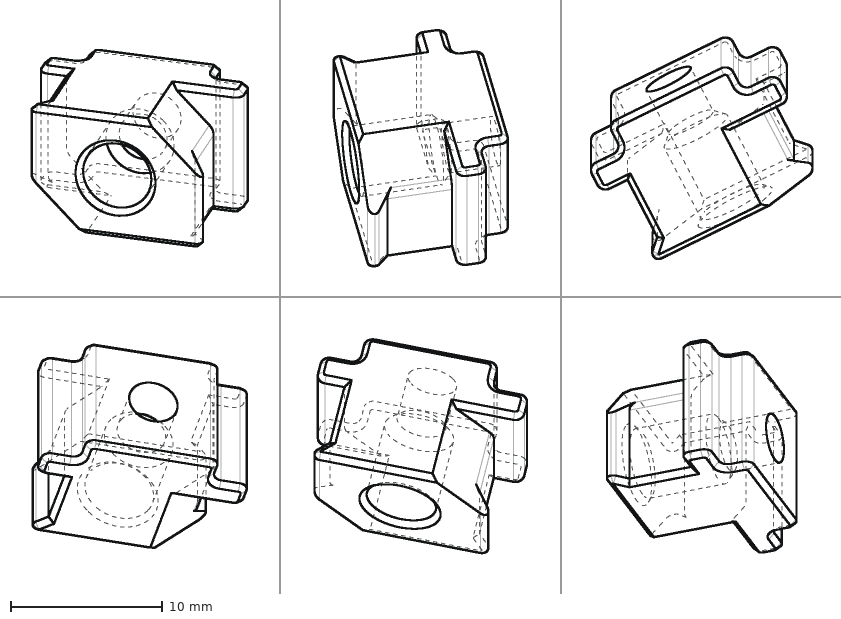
import cadquery as cq

length = 9.8
height = 9.0
bevel = 0.4

flange_width = 14.0
flange_front = 5.8
flange_back = 7.8
tongue_width = 9.0
corner_radius = 0.6

neck_width = 10.14
neck_edge_radius = 1.0
foot_width = 11.79
flare_start = 1.43
foot_edge_radius = 0.42
foot_tip_depth = flare_start - (foot_width - neck_width) / 2

corner_cut_offset = 2.11

bore_diameter = 4.7
bore_depth = flange_front
through_diameter = 3.3

half_height = height / 2


def full_height_slab(outline):
    """Extrude a plan outline to the full height of the part."""
    return outline.extrude(half_height, both=True)


def bevel_rims(slab):
    """Bevel the whole top and bottom rims of a slab."""
    return slab.faces("|Z").edges().chamfer(bevel)


def make_flange():
    """Rounded cross bar with a narrower tongue behind it."""
    bar_depth = flange_back - flange_front
    bar = cq.Workplane("XY").center(0, flange_front + bar_depth / 2).rect(flange_width, bar_depth)
    tongue_depth = length - flange_front
    tongue = cq.Workplane("XY").center(0, flange_front + tongue_depth / 2).rect(tongue_width, tongue_depth)
    body = full_height_slab(bar).union(full_height_slab(tongue)).clean()
    return bevel_rims(body.edges("|Z").fillet(corner_radius))


def make_neck():
    """Prism along Y: two opposite corners cut at 45 degrees and rounded, the other two bevelled."""
    side = neck_width / 2
    cut_height = half_height - (side - corner_cut_offset)
    half_section = [
        (-side + bevel, half_height),
        (corner_cut_offset, half_height),
        (side, cut_height),
        (side, -half_height + bevel),
    ]
    section = half_section + [(-x, -z) for x, z in half_section]
    neck_back = (flange_front + flange_back) / 2
    neck_front = foot_tip_depth
    neck_middle = (neck_front + neck_back) / 2
    neck = cq.Workplane("XZ", origin=(0, neck_front, 0)).polyline(section).close().extrude(neck_front - neck_back)
    for sign in (1, -1):
        rounded_edge = cq.selectors.NearestToPointSelector((sign * side, neck_middle, sign * cut_height))
        neck = neck.edges("|Y").edges(rounded_edge).fillet(neck_edge_radius)
    return neck


def make_foot():
    """Flared front end, bevelled all round and trimmed by the two corner cuts."""
    tip = foot_width / 2
    root_depth = 2 * flare_start
    root = tip - (root_depth - foot_tip_depth)
    outline = [
        (-tip, 0),
        (tip, 0),
        (tip, foot_tip_depth),
        (root, root_depth),
        (-root, root_depth),
        (-tip, foot_tip_depth),
    ]
    foot = full_height_slab(cq.Workplane("XY").polyline(outline).close())
    tip_edges = cq.selectors.BoxSelector((-length, -bevel, -height), (length, foot_tip_depth + bevel, height))
    foot = foot.edges("|Z").edges(tip_edges).fillet(foot_edge_radius)
    foot = bevel_rims(foot)
    cut_run = flange_width / 2
    for sign in (1, -1):
        corner = [
            (sign * corner_cut_offset, sign * half_height),
            (sign * (corner_cut_offset + cut_run), sign * half_height),
            (sign * (corner_cut_offset + cut_run), sign * (half_height - cut_run)),
        ]
        foot = foot.cut(cq.Workplane("XZ").polyline(corner).close().extrude(-length))
    return foot


def make_bore():
    """Straight bore with a bevelled mouth, narrowing through a 45 degree cone to the through hole."""
    bore_radius = bore_diameter / 2
    through_radius = through_diameter / 2
    profile = [
        (0, 0),
        (bore_radius + bevel, 0),
        (bore_radius, bevel),
        (bore_radius, bore_depth),
        (through_radius, bore_depth + bore_radius - through_radius),
        (through_radius, length),
        (0, length),
    ]
    return cq.Workplane("XY").polyline(profile).close().revolve(360, (0, 0, 0), (0, 1, 0))


result = make_flange().union(make_neck()).union(make_foot()).cut(make_bore())